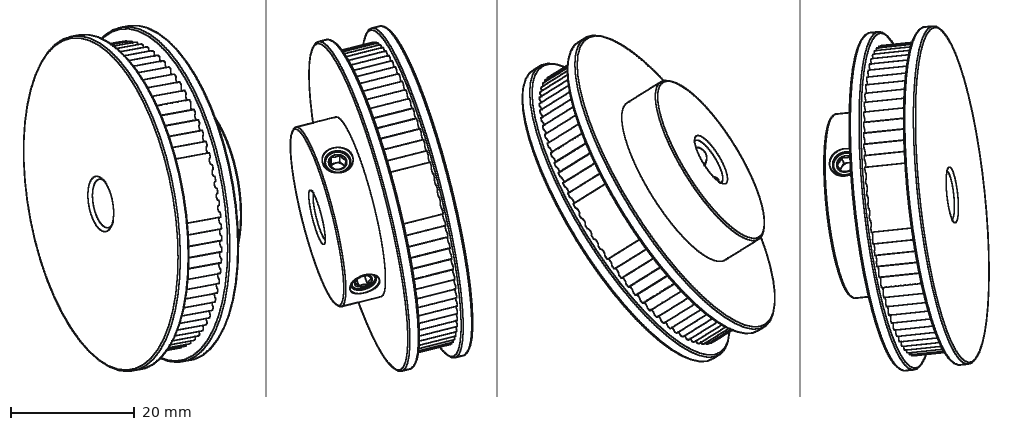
import cadquery as cq
import math

outer_diameter = 55
overall_width = 18.0
flange_thickness = 2.0
rim_width = 7.05
hub_diameter = 30.0
edge_chamfer = 0.3
bore_diameter = 8.0
bore_chamfer = 0.55

pulley_width = 2 * flange_thickness + rim_width
hub_length = overall_width - pulley_width

groove_count = 80
tooth_tip_diameter = 50.45
root_radius = 0.55
side_radius = 1.0
side_center_offset = 0.39
tooth_tip_fillet = 0.15

screw_diameter = 4.25
screw_chamfer = 0.14
countersink_diameter = 5.0
screw_recess = 0.75
screw_y = pulley_width + hub_length / 2
screw_directions = [(0, 0, 1), (-1, 0, 0)]

socket_sides = 6
socket_across_flats = 2.5
socket_depth = 2.0
socket_mouth_diameter = 2.95
socket_cone_height = 0.7

screw_outer_end = hub_diameter / 2 - screw_recess
screw_inner_end = bore_diameter / 2
screw_length = screw_outer_end - screw_inner_end


def disc(diameter, start_y, width):
    """Cylinder about the Y axis, from start_y toward +Y."""
    return cq.Workplane("XZ", origin=(0, start_y, 0)).circle(diameter / 2).extrude(-width)


def make_flange(start_y):
    return disc(outer_diameter, start_y, flange_thickness).edges().chamfer(edge_chamfer)


def groove_points():
    """Points (x, height) of one half of a groove centred on +Z, from its mouth to its floor.

    The tip fillet, side arc and root arc are tangent to each other; the centres of
    the side arcs lie level with the groove mouth.
    """
    tip_radius = tooth_tip_diameter / 2
    fillet_center_distance = side_radius + tooth_tip_fillet
    fillet_angle = math.asin(tooth_tip_fillet / fillet_center_distance)
    fillet_center_x = fillet_center_distance * math.cos(fillet_angle) - side_center_offset
    mouth_height = math.sqrt(tip_radius**2 - fillet_center_x**2)
    fillet_center_height = mouth_height - tooth_tip_fillet

    root_center_distance = side_radius - root_radius
    root_angle = math.acos(side_center_offset / root_center_distance)
    root_center_height = mouth_height - root_center_distance * math.sin(root_angle)

    def side_point(angle):
        """Point of the side arc, at an angle below the horizontal."""
        return (
            side_radius * math.cos(angle) - side_center_offset,
            mouth_height - side_radius * math.sin(angle),
        )

    fillet_middle_angle = (math.pi / 2 + math.pi - fillet_angle) / 2
    mouth = (fillet_center_x, mouth_height)
    fillet_middle = (
        fillet_center_x + tooth_tip_fillet * math.cos(fillet_middle_angle),
        fillet_center_height + tooth_tip_fillet * math.sin(fillet_middle_angle),
    )
    side_top = side_point(fillet_angle)
    side_middle = side_point((fillet_angle + root_angle) / 2)
    side_bottom = side_point(root_angle)
    floor = (0, root_center_height - root_radius)
    return mouth, fillet_middle, side_top, side_middle, side_bottom, floor


def make_toothed_rim():
    """Rim whose outline has round-bottomed grooves with rounded tooth tips."""
    mouth, fillet_middle, side_top, side_middle, side_bottom, floor = groove_points()
    pitch_angle = 2 * math.pi / groove_count

    def right(point, angle):
        """Turn a point clockwise about the pulley axis."""
        x, height = point
        return (
            x * math.cos(angle) + height * math.sin(angle),
            height * math.cos(angle) - x * math.sin(angle),
        )

    def left(point, angle):
        """Mirror a point across the groove's middle line, then turn it."""
        x, height = point
        return right((-x, height), angle)

    outline = cq.Workplane("XZ", origin=(0, flange_thickness, 0)).moveTo(*left(mouth, 0))
    for index in range(groove_count):
        angle = index * pitch_angle
        land_middle = right((0, tooth_tip_diameter / 2), angle + pitch_angle / 2)
        outline = (
            outline
            .threePointArc(left(fillet_middle, angle), left(side_top, angle))
            .threePointArc(left(side_middle, angle), left(side_bottom, angle))
            .threePointArc(right(floor, angle), right(side_bottom, angle))
            .threePointArc(right(side_middle, angle), right(side_top, angle))
            .threePointArc(right(fillet_middle, angle), right(mouth, angle))
            .threePointArc(land_middle, left(mouth, angle + pitch_angle))
        )
    return outline.close().extrude(-rim_width)


def make_hub():
    return disc(hub_diameter, pulley_width, hub_length).faces(">Y").edges().chamfer(edge_chamfer)


def screw_plane(direction, distance):
    """Plane facing outward along a screw axis, at a distance from the pulley axis."""
    origin = cq.Vector(0, screw_y, 0) + cq.Vector(*direction) * distance
    return cq.Plane(origin=origin, xDir=(0, 1, 0), normal=direction)


def make_screw_hole(direction):
    """Tool for a radial hole from the pulley axis out through the hub, countersunk at its mouth."""
    hub_radius = hub_diameter / 2
    countersink_depth = (countersink_diameter - screw_diameter) / 2
    mouth_distance = math.sqrt(hub_radius**2 - (countersink_diameter / 2) ** 2)
    hole = cq.Workplane(screw_plane(direction, 0)).circle(screw_diameter / 2).extrude(hub_radius)
    mouth = (
        cq.Workplane(screw_plane(direction, mouth_distance))
        .circle(countersink_diameter / 2)
        .extrude(hub_radius - mouth_distance)
    )
    countersink = (
        cq.Workplane(screw_plane(direction, mouth_distance - countersink_depth))
        .circle(screw_diameter / 2)
        .workplane(offset=countersink_depth)
        .circle(countersink_diameter / 2)
        .loft()
    )
    return hole.union(countersink).union(mouth)


def make_bore():
    """Tool for the through bore, chamfered at both ends."""
    radius = bore_diameter / 2
    return (
        cq.Workplane("XY")
        .moveTo(0, 0)
        .lineTo(radius + bore_chamfer, 0)
        .lineTo(radius, bore_chamfer)
        .lineTo(radius, overall_width - bore_chamfer)
        .lineTo(radius + bore_chamfer, overall_width)
        .lineTo(0, overall_width)
        .close()
        .revolve(360, (0, 0, 0), (0, 1, 0))
    )


def make_pulley():
    body = make_toothed_rim()
    body = body.union(make_flange(0))
    body = body.union(make_flange(flange_thickness + rim_width))
    body = body.union(make_hub())
    body = body.cut(make_bore())
    for direction in screw_directions:
        body = body.cut(make_screw_hole(direction))
    return body


def make_set_screw(direction):
    """Set screw with a bevelled hexagon socket that has a raised cone on its floor."""
    socket_corner_diameter = socket_across_flats / math.cos(math.pi / socket_sides)
    shank = (
        cq.Workplane(screw_plane(direction, screw_inner_end))
        .circle(screw_diameter / 2)
        .extrude(screw_length)
        .faces(cq.selectors.DirectionMinMaxSelector(cq.Vector(*direction)))
        .edges()
        .chamfer(screw_chamfer)
    )
    socket = (
        cq.Workplane(screw_plane(direction, screw_outer_end))
        .polygon(socket_sides, socket_corner_diameter)
        .extrude(-socket_depth)
    )
    mouth_bevel_depth = (socket_mouth_diameter - socket_across_flats) / 2
    mouth_bevel = cq.Solid.makeCone(
        socket_across_flats / 2,
        socket_mouth_diameter / 2,
        mouth_bevel_depth,
        pnt=screw_plane(direction, screw_outer_end - mouth_bevel_depth).origin,
        dir=cq.Vector(*direction),
    )
    cone = cq.Solid.makeCone(
        socket_across_flats / 2,
        0,
        socket_cone_height,
        pnt=screw_plane(direction, screw_outer_end - socket_depth).origin,
        dir=cq.Vector(*direction),
    )
    socketed = shank.cut(socket).cut(cq.Workplane(mouth_bevel))
    return socketed.union(cq.Workplane(cone))


pulley = make_pulley()
set_screws = [make_set_screw(direction) for direction in screw_directions]

result = cq.Compound.makeCompound([pulley.val(), *[screw.val() for screw in set_screws]])